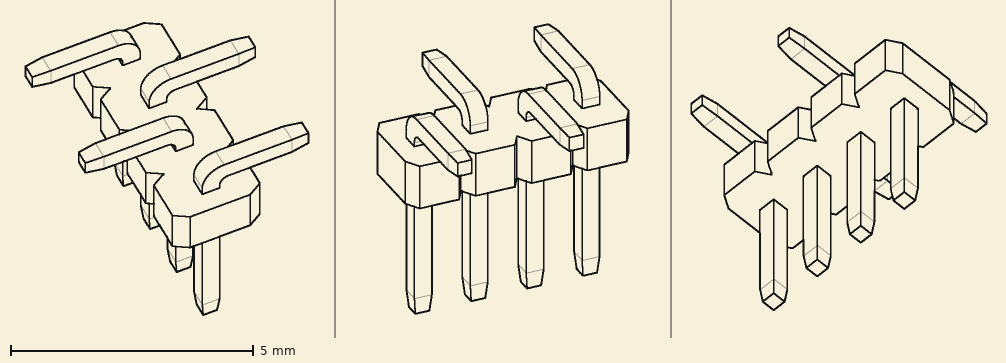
import cadquery as cq

pin_count = 4
body_length = 5.08
pitch = body_length / pin_count
body_width = 2.0
body_height = 1.0
corner_x = 0.19
corner_y = 0.315

pin_size = 0.4
tip_size = 0.32
tip_length = 0.4
pin_drop = 3.0
arm_rise = 0.695
arm_reach = 2.25
outer_bend = 0.5
inner_bend = 0.2

half_pin = pin_size / 2
arm_top = body_height + arm_rise
arm_bottom = arm_top - pin_size
arm_shoulder = arm_reach - tip_length
leg_shoulder = tip_length - pin_drop


def body_cell(x):
    """One pitch of the body: a block with its four upright edges cut off."""
    half_x = pitch / 2
    half_y = body_width / 2
    outline = [
        (half_x, half_y - corner_y),
        (half_x - corner_x, half_y),
        (corner_x - half_x, half_y),
        (-half_x, half_y - corner_y),
        (-half_x, corner_y - half_y),
        (corner_x - half_x, -half_y),
        (half_x - corner_x, -half_y),
        (half_x, corner_y - half_y),
    ]
    return cq.Workplane("XY").center(x, 0).polyline(outline).close().extrude(body_height)


def tapered_tip(base, direction):
    """Square tip narrowing from the base point along the direction."""
    plane = cq.Plane(origin=base, xDir=(1, 0, 0), normal=direction)
    return (
        cq.Workplane(plane)
        .rect(pin_size, pin_size)
        .workplane(offset=tip_length)
        .rect(tip_size, tip_size)
        .loft(ruled=True)
    )


def bent_pin():
    """Pin on the Z axis whose upper arm bends toward +Y."""
    shank = (
        cq.Workplane("YZ", origin=(-half_pin, 0, 0))
        .moveTo(-half_pin, leg_shoulder)
        .lineTo(-half_pin, arm_top - outer_bend)
        .radiusArc((outer_bend - half_pin, arm_top), outer_bend)
        .lineTo(arm_shoulder, arm_top)
        .lineTo(arm_shoulder, arm_bottom)
        .lineTo(half_pin + inner_bend, arm_bottom)
        .radiusArc((half_pin, arm_bottom - inner_bend), -inner_bend)
        .lineTo(half_pin, leg_shoulder)
        .close()
        .extrude(pin_size)
    )
    leg_tip = tapered_tip((0, 0, leg_shoulder), (0, 0, -1))
    arm_tip = tapered_tip((0, arm_shoulder, arm_top - half_pin), (0, 1, 0))
    return shank.union(leg_tip).union(arm_tip)


pin_toward_back = bent_pin()
pin_toward_front = pin_toward_back.rotate((0, 0, 0), (0, 0, 1), 180)

result = cq.Workplane("XY")
for index in range(pin_count):
    x = (index - (pin_count - 1) / 2) * pitch
    pin = pin_toward_front if index % 2 == 0 else pin_toward_back
    result = result.union(body_cell(x)).union(pin.translate((x, 0, 0)))
result = result.clean().solids()